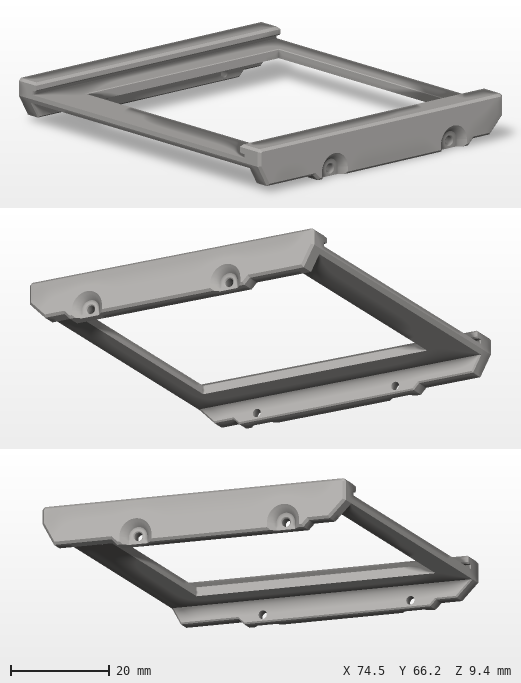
import cadquery as cq

width = 74.5
length = 66.2
height = 9.4
half_width = width / 2
half_length = length / 2

plate_bottom = 4.8
plate_top = 6.7
lip_bottom = 7.6
leg_thickness = 3.9
wall_thickness = 4.6
left_lip_reach = 5.8
right_lip_reach = 6.0

outer_chamfer = 0.5
inner_chamfer = 0.3
rim_chamfer = 0.15

step_height = 1.3
rear_slope_top = 4.8
rear_slope_run = rear_slope_top - step_height
front_slope_top = 5.7
front_slope_run = 2.45
foot_rear = 23.85
foot_front = -16.8
foot_slope_run = step_height

window_size = 52.15
window_center_y = 1.85

hole_diameter = 1.8
hole_countersink = 0.2
hole_height = 1.6
hole_positions = (19.6, -12.7)
recess_outer_radius = 3.5
recess_floor_radius = 2.0
recess_depth = recess_outer_radius - recess_floor_radius


def extrude_side_outline(start_x, depth):
    """Side outline of the part, extruded along +X from start_x."""
    outline = [
        (half_length - outer_chamfer, height),
        (half_length, height - outer_chamfer),
        (half_length, rear_slope_top),
        (half_length - rear_slope_run, step_height),
        (foot_rear + foot_slope_run, step_height),
        (foot_rear, 0),
        (foot_front, 0),
        (foot_front - foot_slope_run, step_height),
        (front_slope_run - half_length, step_height),
        (-half_length, front_slope_top),
        (-half_length, height - outer_chamfer),
        (outer_chamfer - half_length, height),
    ]
    return cq.Workplane("YZ", origin=(start_x, 0, 0)).polyline(outline).close().extrude(depth)


def make_right_half(lip_reach):
    """Right half of the plate with its wall and a hooked lip of the given reach."""
    wall_x = half_width - wall_thickness
    lip_x = half_width - lip_reach
    section = [
        (0, plate_top),
        (wall_x, plate_top),
        (wall_x, lip_bottom),
        (lip_x + inner_chamfer, lip_bottom),
        (lip_x, lip_bottom + inner_chamfer),
        (lip_x, height - outer_chamfer),
        (lip_x + outer_chamfer, height),
        (half_width, height),
        (half_width, plate_bottom),
        (0, plate_bottom),
    ]
    return cq.Workplane("XZ").polyline(section).close().extrude(half_length, both=True)


def make_upper_body():
    """Plate with a hooked lip along each side, trimmed to the bevelled side outline."""
    left_half = make_right_half(left_lip_reach).mirror("YZ")
    rails = make_right_half(right_lip_reach).union(left_half)
    block = extrude_side_outline(-half_width, width)
    block = block.faces("<X or >X").edges().chamfer(outer_chamfer)
    return rails.intersect(block)


def make_leg():
    """Right-hand leg, bevelled around its outer and inner faces."""
    leg = extrude_side_outline(half_width - leg_thickness, leg_thickness)
    leg = leg.faces(">X").edges().chamfer(outer_chamfer)
    return leg.faces("<X").edges().chamfer(inner_chamfer)


def cut_window(body):
    """Square opening with a bevelled upper rim."""
    opening = cq.Workplane("XY", origin=(0, window_center_y, plate_bottom))
    opening = opening.rect(window_size, window_size).extrude(plate_top - plate_bottom)
    rim_size = window_size + 2 * rim_chamfer
    rim = cq.Workplane("XY", origin=(0, window_center_y, plate_top))
    rim = rim.rect(rim_size, rim_size).extrude(-rim_chamfer, taper=45)
    return body.cut(opening).cut(rim)


def make_recess(y):
    """Arched recess, wide at the outer face and narrowing inwards at 45 degrees."""
    skirt = 2 * recess_outer_radius
    return (
        cq.Workplane("YZ", origin=(-half_width, y, hole_height))
        .moveTo(recess_outer_radius, -skirt)
        .lineTo(recess_outer_radius, 0)
        .threePointArc((0, recess_outer_radius), (-recess_outer_radius, 0))
        .lineTo(-recess_outer_radius, -skirt)
        .close()
        .extrude(recess_depth, taper=45)
    )


def make_countersink(y):
    """Small cone that breaks the hole edge at the recess floor."""
    mouth = cq.Workplane("YZ", origin=(recess_depth - half_width, y, hole_height))
    mouth = mouth.circle(hole_diameter / 2 + hole_countersink)
    return mouth.extrude(hole_countersink, taper=45)


def cut_screw_seats(body):
    """Recess with a countersunk screw hole at each position, mirrored on both rails."""
    for y in hole_positions:
        recess = make_recess(y).union(make_countersink(y))
        hole = cq.Workplane("YZ", origin=(0, y, hole_height))
        hole = hole.circle(hole_diameter / 2).extrude(half_width, both=True)
        body = body.cut(recess).cut(recess.mirror("YZ")).cut(hole)
    return body


leg = make_leg()
result = make_upper_body().union(leg).union(leg.mirror("YZ"))
result = cut_window(result)
result = cut_screw_seats(result)